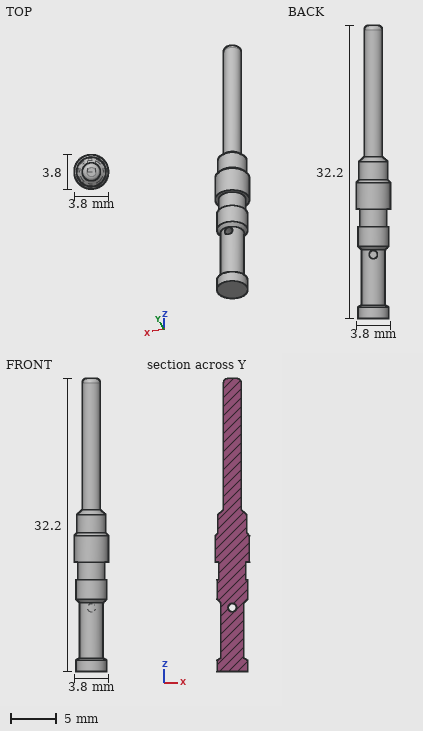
import cadquery as cq

length = 32.2

rim_diameter = 3.4
barrel_diameter = 2.6
collar_diameter = rim_diameter
groove_diameter = 3.0
flange_diameter = 3.8
shoulder_diameter = 3.22
pin_diameter = 2.0
tip_radius = pin_diameter / 4

rim_top = 1.25
barrel_bottom = 1.48
barrel_top = 7.55
collar_bottom = barrel_top + (collar_diameter - barrel_diameter) / 2
collar_top = 10.08
flange_bottom = 12.0
flange_top = 14.9
shoulder_bottom = 15.23
shoulder_top = 17.23
pin_bottom = 17.77

hole_diameter = 0.9
hole_height = 7.02


def turned_body():
    """Revolve the stepped half section (radius, height) about the Z axis."""
    sections = [
        (rim_diameter, 0, rim_top),
        (barrel_diameter, barrel_bottom, barrel_top),
        (collar_diameter, collar_bottom, collar_top),
        (groove_diameter, collar_top, flange_bottom),
        (flange_diameter, flange_bottom, flange_top),
        (shoulder_diameter, shoulder_bottom, shoulder_top),
        (pin_diameter, pin_bottom, length),
    ]
    profile = cq.Workplane("XZ").moveTo(0, 0)
    for diameter, bottom, top in sections:
        profile = profile.lineTo(diameter / 2, bottom)
        profile = profile.lineTo(diameter / 2, top)
    profile = profile.lineTo(0, length).close()
    return profile.revolve(360, (0, 0, 0), (0, 1, 0))


def inspection_hole():
    """Radial cutter running from the axis out through the +Y side."""
    return (
        cq.Workplane("XZ")
        .center(0, hole_height)
        .circle(hole_diameter / 2)
        .extrude(-barrel_diameter)
    )


body = turned_body().faces(">Z").edges().fillet(tip_radius)
result = body.cut(inspection_hole())